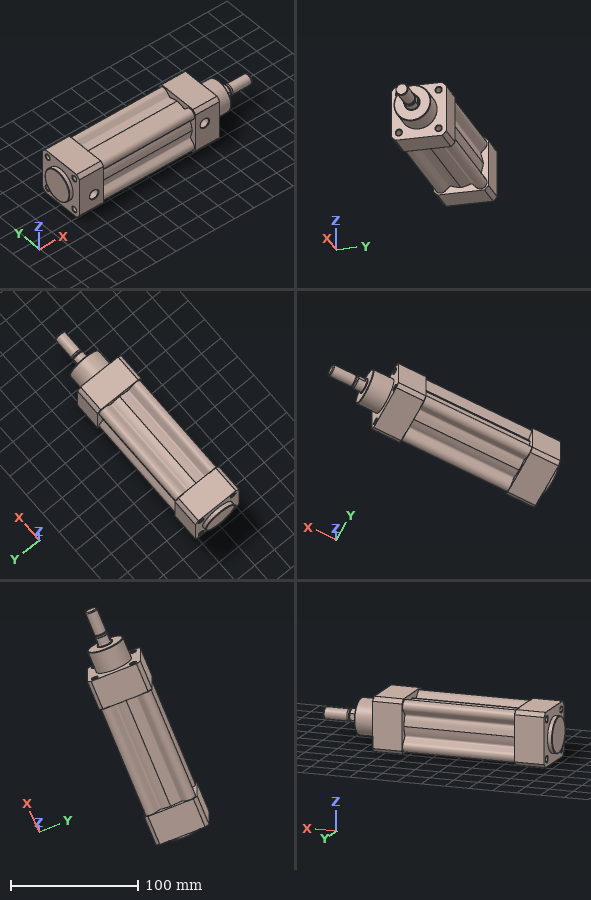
import cadquery as cq
import math

REAR_CAP_START = 4.0
REAR_CAP_END = 28.8
FRONT_CAP_START = 123.0
FRONT_CAP_END = 147.8
COLLAR_END = 166.0
LIP_END = 166.8
NECK_START = 167.8
FLATS_START = 168.0
FLATS_END = 173.7
RELIEF_MIDDLE = 174.8
THREAD_START = 176.0
ROD_TIP = 196.0

CAP_SIZE = 45.0
CAP_CORNER_RADIUS = 29.5
SPIGOT_DIAMETER = 30.0
SPIGOT_CHAMFER = 0.49
HOLE_CHAMFER = 0.49
PORT_DIAMETER = 8.6
PORT_DEPTH = 9.8
PORT_OFFSET = 5.0
REAR_PORT_X = 19.2
FRONT_PORT_X = 132.5
BOLT_OFFSET = 16.3
BOLT_HOLE_DIAMETER = 4.7
BOLT_HOLE_DEPTH = 11.8
LIP_DIAMETER = 12.7

BARREL_RADIUS = 18.0
RIB_RADIUS = 5.0
RIB_FILLET = 2.0
RIDGE_HALF_WIDTH = 3.7

ROD_DIAMETER = 12.0
NECK_DIAMETER = 11.4
FLATS_WIDTH = 10.0
RELIEF_DIAMETER = 8.8
RELIEF_EDGE_DIAMETER = 9.5
THREAD_DIAMETER = 10.0
TIP_CHAMFER_LENGTH = 1.0
TIP_DIAMETER = 9.0


def disc(x_start, x_end, diameter):
    return cq.Workplane("YZ").workplane(offset=x_start).circle(diameter / 2).extrude(x_end - x_start)


def cap_block(x_start, x_end):
    """Square block whose corners are turned off by a cylinder on the same axis."""
    block = cq.Workplane("YZ").workplane(offset=x_start).rect(CAP_SIZE, CAP_SIZE).extrude(x_end - x_start)
    return block.intersect(disc(x_start, x_end, 2 * CAP_CORNER_RADIUS))


def countersunk_hole(diameter, depth):
    """Cutter that starts at the origin and runs along +X, widened by a chamfer at its mouth."""
    radius = diameter / 2
    return (
        cq.Workplane("XY")
        .lineTo(0, radius + HOLE_CHAMFER)
        .lineTo(HOLE_CHAMFER, radius)
        .lineTo(depth, radius)
        .lineTo(depth, 0)
        .close()
        .revolve(360, (0, 0, 0), (1, 0, 0))
    )


def port(x, z):
    """Cutter for an air port in the -Y face of a cap."""
    cutter = countersunk_hole(PORT_DIAMETER, PORT_DEPTH).rotate((0, 0, 0), (0, 0, 1), 90)
    return cutter.translate((x, -CAP_SIZE / 2, z))


def cut_bolt_holes(cap, x_face, turn):
    """Cut the four corner holes from an end face; a turn of 180 degrees points them toward -X."""
    cutter = countersunk_hole(BOLT_HOLE_DIAMETER, BOLT_HOLE_DEPTH).rotate((0, 0, 0), (0, 0, 1), turn)
    for y in (-BOLT_OFFSET, BOLT_OFFSET):
        for z in (-BOLT_OFFSET, BOLT_OFFSET):
            cap = cap.cut(cutter.translate((x_face, y, z)))
    return cap


def make_rear_cap():
    spigot = disc(0, REAR_CAP_START, SPIGOT_DIAMETER).faces("<X").chamfer(SPIGOT_CHAMFER)
    cap = cap_block(REAR_CAP_START, REAR_CAP_END).union(spigot)
    cap = cap.cut(port(REAR_PORT_X, -PORT_OFFSET))
    return cut_bolt_holes(cap, REAR_CAP_START, 0)


def make_front_cap():
    collar = disc(FRONT_CAP_END, COLLAR_END, SPIGOT_DIAMETER).faces(">X").chamfer(SPIGOT_CHAMFER)
    lip = disc(COLLAR_END, LIP_END, LIP_DIAMETER)
    cap = cap_block(FRONT_CAP_START, FRONT_CAP_END).union(collar).union(lip)
    cap = cap.cut(port(FRONT_PORT_X, PORT_OFFSET))
    cap = cut_bolt_holes(cap, FRONT_CAP_END, 180)
    return cap.cut(disc(FRONT_CAP_START, LIP_END, ROD_DIAMETER))


def polar(radius, angle, center=(0, 0)):
    return (center[0] + radius * math.cos(angle), center[1] + radius * math.sin(angle))


def barrel_quadrant():
    """Quarter of the barrel section, closed to the axis, with its rib on the YZ diagonal."""
    diagonal = math.radians(45)
    ridge_angle = math.asin(RIDGE_HALF_WIDTH / BARREL_RADIUS)
    ridge_peak = BARREL_RADIUS / math.cos(ridge_angle)
    ridge_end = polar(BARREL_RADIUS, ridge_angle)

    fillet_reach = BARREL_RADIUS + RIB_FILLET
    fillet_angle = diagonal - math.asin((RIB_RADIUS + RIB_FILLET) / fillet_reach)
    fillet_center = polar(fillet_reach, fillet_angle)
    fillet_middle_angle = (math.pi + fillet_angle + 3 * diagonal) / 2
    fillet_start = polar(BARREL_RADIUS, fillet_angle)
    fillet_middle = polar(RIB_FILLET, fillet_middle_angle, fillet_center)
    fillet_end = polar(RIB_FILLET, 3 * diagonal, fillet_center)
    barrel_middle = polar(BARREL_RADIUS, (ridge_angle + fillet_angle) / 2)

    rib_center = (BOLT_OFFSET, BOLT_OFFSET)
    flank_end = polar(RIB_RADIUS, -diagonal, rib_center)
    rib_crest = polar(RIB_RADIUS, diagonal, rib_center)

    def mirrored(point):
        return (point[1], point[0])

    return (
        cq.Workplane("YZ")
        .workplane(offset=REAR_CAP_END)
        .lineTo(ridge_peak, 0)
        .lineTo(*ridge_end)
        .threePointArc(barrel_middle, fillet_start)
        .threePointArc(fillet_middle, fillet_end)
        .lineTo(*flank_end)
        .threePointArc(rib_crest, mirrored(flank_end))
        .lineTo(*mirrored(fillet_end))
        .threePointArc(mirrored(fillet_middle), mirrored(fillet_start))
        .threePointArc(mirrored(barrel_middle), mirrored(ridge_end))
        .lineTo(0, ridge_peak)
        .close()
        .extrude(FRONT_CAP_START - REAR_CAP_END)
    )


def make_barrel():
    """Round barrel with four corner ribs and a shallow ridge along the middle of each side."""
    quadrant = barrel_quadrant()
    barrel = quadrant
    for turn in (90, 180, 270):
        barrel = barrel.union(quadrant.rotate((0, 0, 0), (1, 0, 0), turn))
    return barrel


def make_rod():
    """Piston rod stepping from shoulder to flatted neck, V-shaped relief and plain thread cylinder."""
    rod = (
        cq.Workplane("XZ")
        .moveTo(FRONT_CAP_START, 0)
        .lineTo(FRONT_CAP_START, ROD_DIAMETER / 2)
        .lineTo(LIP_END, ROD_DIAMETER / 2)
        .lineTo(NECK_START, NECK_DIAMETER / 2)
        .lineTo(FLATS_END, NECK_DIAMETER / 2)
        .lineTo(FLATS_END, RELIEF_EDGE_DIAMETER / 2)
        .lineTo(RELIEF_MIDDLE, RELIEF_DIAMETER / 2)
        .lineTo(THREAD_START, THREAD_DIAMETER / 2)
        .lineTo(ROD_TIP - TIP_CHAMFER_LENGTH, THREAD_DIAMETER / 2)
        .lineTo(ROD_TIP, TIP_DIAMETER / 2)
        .lineTo(ROD_TIP, 0)
        .close()
        .revolve(360, (0, 0, 0), (1, 0, 0))
    )
    flats_length = FLATS_END - FLATS_START
    flat_depth = (ROD_DIAMETER - FLATS_WIDTH) / 2
    for side in (-1, 1):
        flat_y = side * (FLATS_WIDTH + flat_depth) / 2
        flat = cq.Workplane("XY").box(flats_length, flat_depth, ROD_DIAMETER)
        rod = rod.cut(flat.translate(((FLATS_START + FLATS_END) / 2, flat_y, 0)))
    return rod


rear_cap = make_rear_cap()
barrel = make_barrel()
front_cap = make_front_cap()
rod = make_rod()

result = cq.Compound.makeCompound([rear_cap.val(), barrel.val(), front_cap.val(), rod.val()])